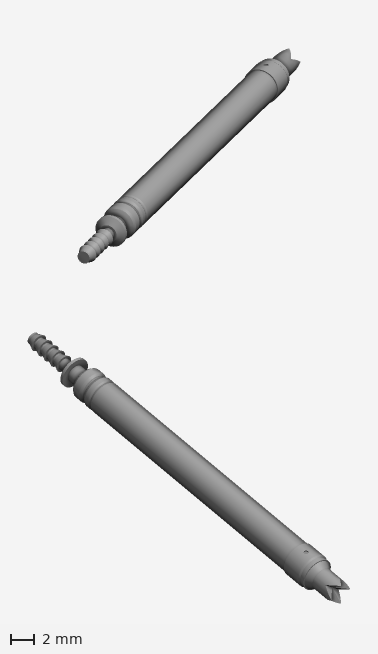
import cadquery as cq
import math

TOTAL_LENGTH = 40.0

CROWN_RADIUS = 1.05
TOOTH_DEPTH = 1.15
CROWN_END = 2.5

NOSE_RADIUS = 1.4
BODY_DIAMETER = 3.0
BODY_RADIUS = BODY_DIAMETER / 2
NOSE_END = 3.1
COLLAR_RADIUS = 1.6
COLLAR_CHAMFER_START = 3.5
COLLAR_START = 3.7
COLLAR_END = 5.5
DIMPLE_STATION = 4.5
DIMPLE_RADIUS = 0.2
DIMPLE_DEPTH = 0.1

SHARP_GROOVE_START = 30.7
SHARP_GROOVE_ROOT = 30.9
SHARP_GROOVE_END = 31.1
SHARP_GROOVE_RADIUS = 1.4
ROUND_GROOVE_STATION = 31.9
ROUND_GROOVE_HALF_MOUTH = 0.35
ROUND_GROOVE_HALF_FLOOR = 0.1
ROUND_GROOVE_WALL_RADIUS = 1.35
ROUND_GROOVE_FLOOR_RADIUS = 1.3
BODY_TAPER_START = 32.95
BODY_TAPER_END = 33.15
BODY_TAPER_RADIUS = 1.35
BODY_END = 33.4
ROLLED_END_MIDDLE_RADIUS = 1.1
ROLLED_END_MIDDLE = 33.3

SHANK_RADIUS = 0.8
FLANGE_START = 34.5
FLANGE_RADIUS = 1.4
FLANGE_RIM = 0.3
FLANGE_CONE_END = 35.25
FLANGE_CONE_RADIUS = 0.8
NECK_RADIUS = 0.55

BARB_COUNT = 5
BARB_RADIUS = 0.8
BARB_START = 35.95
BARB_PITCH = (TOTAL_LENGTH - BARB_START) / BARB_COUNT
BARB_CONE_LENGTH = 0.65


def station_y(station):
    """Y coordinate of a station, with the part centred on the origin."""
    return TOTAL_LENGTH / 2 - station


def profile_point(radius, station):
    """Point of the turned outline in the XY plane."""
    return (radius, station_y(station))


def add_lines(outline, points):
    """Continue the outline through (radius, station) points with straight lines."""
    for point in points:
        outline = outline.lineTo(*profile_point(*point))
    return outline


def add_arc(outline, middle, end):
    """Continue the outline with an arc through two (radius, station) points."""
    return outline.threePointArc(profile_point(*middle), profile_point(*end))


def add_front(outline):
    """Crown blank, nose cone and press collar."""
    return add_lines(outline, [
        (CROWN_RADIUS, 0),
        (CROWN_RADIUS, CROWN_END),
        (NOSE_RADIUS, NOSE_END),
        (BODY_RADIUS, NOSE_END),
        (BODY_RADIUS, COLLAR_CHAMFER_START),
        (COLLAR_RADIUS, COLLAR_START),
        (COLLAR_RADIUS, COLLAR_END),
        (BODY_RADIUS, COLLAR_END),
    ])


def add_body_tail(outline):
    """Long tube, its two grooves and its rolled-in end."""
    outline = add_lines(outline, [
        (BODY_RADIUS, SHARP_GROOVE_START),
        (SHARP_GROOVE_RADIUS, SHARP_GROOVE_ROOT),
        (BODY_RADIUS, SHARP_GROOVE_END),
        (BODY_RADIUS, ROUND_GROOVE_STATION - ROUND_GROOVE_HALF_MOUTH),
        (ROUND_GROOVE_WALL_RADIUS, ROUND_GROOVE_STATION - ROUND_GROOVE_HALF_FLOOR),
    ])
    outline = add_arc(
        outline,
        (ROUND_GROOVE_FLOOR_RADIUS, ROUND_GROOVE_STATION),
        (ROUND_GROOVE_WALL_RADIUS, ROUND_GROOVE_STATION + ROUND_GROOVE_HALF_FLOOR),
    )
    outline = add_lines(outline, [
        (BODY_RADIUS, ROUND_GROOVE_STATION + ROUND_GROOVE_HALF_MOUTH),
        (BODY_RADIUS, BODY_TAPER_START),
        (BODY_TAPER_RADIUS, BODY_TAPER_END),
    ])
    return add_arc(outline, (ROLLED_END_MIDDLE_RADIUS, ROLLED_END_MIDDLE), (SHANK_RADIUS, BODY_END))


def add_terminal(outline):
    """Shank, flange, neck and the row of barbs."""
    outline = add_lines(outline, [
        (SHANK_RADIUS, FLANGE_START),
        (FLANGE_RADIUS, FLANGE_START),
        (FLANGE_RADIUS, FLANGE_START + FLANGE_RIM),
        (FLANGE_CONE_RADIUS, FLANGE_CONE_END),
        (NECK_RADIUS, FLANGE_CONE_END),
    ])
    for index in range(BARB_COUNT):
        start = BARB_START + index * BARB_PITCH
        outline = add_lines(outline, [
            (NECK_RADIUS, start),
            (BARB_RADIUS, start),
            (NECK_RADIUS, start + BARB_CONE_LENGTH),
        ])
    return add_lines(outline, [(NECK_RADIUS, TOTAL_LENGTH), (0, TOTAL_LENGTH)])


def turned_pin():
    """Solid of revolution for the whole probe, with a plain crown."""
    outline = cq.Workplane("XY").moveTo(*profile_point(0, 0))
    for add_section in (add_front, add_body_tail, add_terminal):
        outline = add_section(outline)
    return outline.close().revolve(360, (0, 0), (0, 1))


def crown_cut(angle):
    """V-groove across the crown tip; two crossed grooves leave four pointed teeth."""
    half_width = CROWN_RADIUS * math.sin(math.radians(45))
    tip = station_y(0)
    root = station_y(TOOTH_DEPTH)
    overshoot = 2.0
    wide = half_width * overshoot
    top = root + (tip - root) * overshoot
    wedge = (
        cq.Workplane("XY")
        .polyline([(0, root), (wide, top), (-wide, top)])
        .close()
        .extrude(2 * CROWN_RADIUS, both=True)
    )
    return wedge.rotate((0, 0, 0), (0, 1, 0), angle)


def dimple():
    """Shallow round mark on top of the collar."""
    return (
        cq.Workplane("XY", origin=(0, station_y(DIMPLE_STATION), COLLAR_RADIUS - DIMPLE_DEPTH))
        .circle(DIMPLE_RADIUS)
        .extrude(2 * DIMPLE_DEPTH)
    )


result = turned_pin()
for groove_angle in (45, -45):
    result = result.cut(crown_cut(groove_angle))
result = result.cut(dimple())